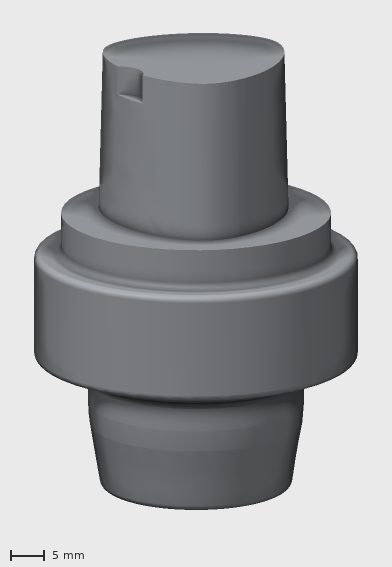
import cadquery as cq
import math

total_height = 66.0
collar_top = 42.0
flange_top = 36.0
flange_bottom = 19.9
taper_start = 11.3

flange_radius = 48.0 / 2
collar_radius = 40.0 / 2
neck_radius = 32.0 / 2
nose_half_angle = math.radians(9.5)
flange_cone_angle = math.radians(20)
edge_round = 1.0
taper_blend_length = 1.65

shank_base_radius = 14.05
shank_taper = 1 / 40
lobe_offset = 0.9
lobe_count = 3

notch_radius = 3.8
notch_depth = 4.3
notch_inner_y = -10.8

nose_radius = neck_radius - taper_start * math.tan(nose_half_angle)
neck_top = flange_bottom - (flange_radius - neck_radius) * math.tan(flange_cone_angle)
taper_blend_radius = taper_blend_length / math.tan(nose_half_angle / 2)
shank_length = total_height - collar_top
shank_top_radius = shank_base_radius - shank_length * shank_taper


def round_circle(body, radius, height, fillet_radius):
    """Round the circular edge of the given radius at the given height."""
    margin = 0.005
    reach = radius + margin
    lower = (-reach, -reach, height - margin)
    upper = (reach, reach, height + margin)
    return body.edges(cq.selectors.BoxSelector(lower, upper, boundingbox=True)).edges(
        cq.selectors.RadiusNthSelector(-1)
    ).fillet(fillet_radius)


def turned_body():
    """Nose, neck, flange and collar as one revolved solid with rounded edges."""
    body = (
        cq.Workplane("XZ")
        .moveTo(0, 0)
        .lineTo(nose_radius, 0)
        .lineTo(neck_radius, taper_start)
        .lineTo(neck_radius, neck_top)
        .lineTo(flange_radius, flange_bottom)
        .lineTo(flange_radius, flange_top)
        .lineTo(collar_radius, flange_top)
        .lineTo(collar_radius, collar_top)
        .lineTo(0, collar_top)
        .close()
        .revolve(360, (0, 0, 0), (0, 1, 0))
    )
    body = round_circle(body, nose_radius, 0, edge_round)
    body = round_circle(body, neck_radius, taper_start, taper_blend_radius)
    body = round_circle(body, neck_radius, neck_top, edge_round)
    body = round_circle(body, flange_radius, flange_bottom, edge_round)
    body = round_circle(body, flange_radius, flange_top, edge_round)
    return round_circle(body, collar_radius, flange_top, edge_round)


def lobe_point(radius, angle):
    """Point of a constant-width lobed curve whose outward normal has this angle."""
    phase = lobe_count * (angle - math.pi / 2)
    support = radius + lobe_offset * math.cos(phase)
    slope = -lobe_count * lobe_offset * math.sin(phase)
    x = support * math.cos(angle) - slope * math.sin(angle)
    y = support * math.sin(angle) + slope * math.cos(angle)
    return x, y


def lobed_wire(radius, height):
    """Closed outline made of alternating corner and flank curves."""
    segment_count = 2 * lobe_count
    step = 2 * math.pi / segment_count
    outline = cq.Workplane("XY", origin=(0, 0, height))
    edges = [
        outline.parametricCurve(
            lambda t, start=i * step: (*lobe_point(radius, start + t * step), 0),
            N=20,
            makeWire=False,
        ).val()
        for i in range(segment_count)
    ]
    return cq.Wire.assembleEdges(edges)


def shank():
    """Tapered lobed shank with one corner pointing to +Y."""
    base = lobed_wire(shank_base_radius, collar_top)
    top = lobed_wire(shank_top_radius, total_height)
    return cq.Workplane(obj=cq.Solid.makeLoft([base, top], True))


def key_notch():
    """Vertical round-backed cut in the -Y flank, open at the top."""
    return (
        cq.Workplane("XY", origin=(0, notch_inner_y - notch_radius, total_height - notch_depth))
        .circle(notch_radius)
        .extrude(notch_depth)
    )


result = turned_body().union(shank().cut(key_notch()))